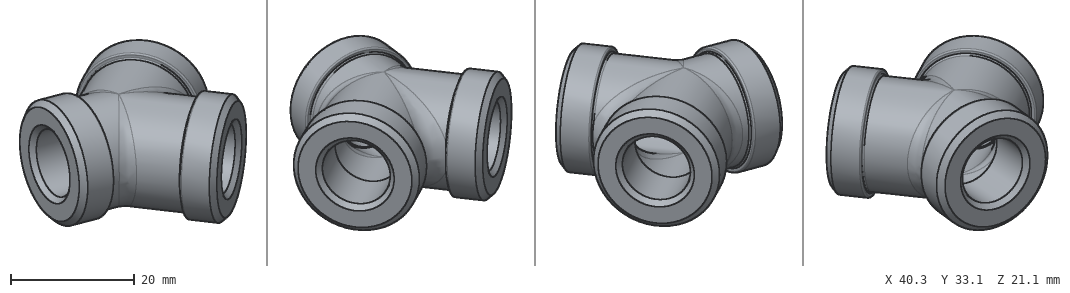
import cadquery as cq
import math

full_width = 40.3
front_length = 12.98
collar_diameter = 21.1
tube_diameter = 19.0
bore_diameter = 11.35
cavity_diameter = 11.85

collar_length = 6.0
end_chamfer = 1.0
collar_edge_radius = 0.3
collar_root_radius = 0.3
bore_chamfer = 0.9
blend_radius = 3.7
cavity_land = 0.05

fuse_tolerance = 0.001

front_angle = -90.0
right_angle = 45.0
left_angle = 135.0

face_radius = collar_diameter / 2 - end_chamfer
rear_length = full_width / 2 / math.cos(math.radians(right_angle)) - face_radius

branch_angles = [front_angle, right_angle, left_angle]
branch_lengths = [front_length, rear_length, rear_length]


def direction(angle):
    return cq.Vector(math.cos(math.radians(angle)), math.sin(math.radians(angle)), 0)


def corner_angle(first_angle, second_angle):
    """Angle swept counterclockwise from the first branch to the second."""
    return (second_angle - first_angle) % 360


def contact_distance(corner, diameter):
    """Distance along a tube to the widest point where the rolling ball touches it."""
    return (diameter / 2 + blend_radius) / math.tan(math.radians(corner / 2))


def contact_point(angle, side, corner, diameter):
    """Widest ball contact on the left (+1) or right (-1) side of a tube."""
    sideways = direction(angle + 90 * side) * (diameter / 2)
    return direction(angle) * contact_distance(corner, diameter) + sideways


def upright_prism(points, half_height):
    outline = [(point.x, point.y) for point in points]
    return cq.Workplane("XY").polyline(outline).close().extrude(half_height, both=True)


def trimmed_tube(angle, length, right_corner, left_corner, diameter):
    """Round bar along a branch, cut back to its contact curves with the two blends beside it."""
    axis = direction(angle)
    bar = cq.Workplane(cq.Solid.makeCylinder(diameter / 2, diameter + length, axis * -diameter, axis))
    right_edge = contact_point(angle, -1, right_corner, diameter) * 2
    left_edge = contact_point(angle, 1, left_corner, diameter) * 2
    reach = axis * length
    sector = [cq.Vector(0, 0, 0), right_edge, right_edge + reach, left_edge + reach, left_edge]
    return bar.intersect(upright_prism(sector, diameter))


def corner_blend(first_angle, corner, diameter):
    """Filler between two equal tubes, hollowed by a ball rolling along both of them."""
    bisector = direction(first_angle + corner / 2)
    ball_offset = diameter / 2 + blend_radius

    ellipse_reach = ball_offset / math.sin(math.radians(corner / 2))
    bisecting_plane = cq.Plane((0, 0, 0), bisector, cq.Vector(0, 0, 1).cross(bisector))
    ball_path = cq.Workplane(bisecting_plane).ellipse(ellipse_reach, ball_offset)
    ball_track = cq.Workplane("XY", origin=bisector * ellipse_reach).circle(blend_radius).sweep(ball_path)

    wedge = [
        cq.Vector(0, 0, 0),
        contact_point(first_angle, 1, corner, diameter),
        contact_point(first_angle + corner, -1, corner, diameter),
    ]
    near_side = ball_path.extrude(ball_offset, both=True)
    return upright_prism(wedge, diameter / 2).intersect(near_side).cut(ball_track)


def blended_tubes(diameter, lengths):
    """Equal tubes from the branch centre, blended in every corner."""
    body = cq.Workplane("XY")
    for index, angle in enumerate(branch_angles):
        next_angle = branch_angles[(index + 1) % len(branch_angles)]
        right_corner = corner_angle(branch_angles[index - 1], angle)
        left_corner = corner_angle(angle, next_angle)
        tube = trimmed_tube(angle, lengths[index], right_corner, left_corner, diameter)
        blend = corner_blend(angle, left_corner, diameter)
        body = body.union(tube, tol=fuse_tolerance).union(blend, tol=fuse_tolerance)
    return body


def revolve_on_branch(profile, angle):
    """Turn an XY half-profile about the X axis and swing it to a branch."""
    return profile.close().revolve(360, (0, 0), (1, 0)).rotate((0, 0, 0), (0, 0, 1), angle)


def collar(angle, length):
    """Collar with a chamfered end, a rounded inner rim and a filleted root."""
    collar_radius = collar_diameter / 2
    tube_radius = tube_diameter / 2
    rim = length - collar_length
    profile = (
        cq.Workplane("XY")
        .moveTo(rim - collar_root_radius, 0)
        .lineTo(length, 0)
        .lineTo(length, face_radius)
        .lineTo(length - end_chamfer, collar_radius)
        .lineTo(rim + collar_edge_radius, collar_radius)
        .radiusArc((rim, collar_radius - collar_edge_radius), -collar_edge_radius)
        .lineTo(rim, tube_radius + collar_root_radius)
        .radiusArc((rim - collar_root_radius, tube_radius), collar_root_radius)
    )
    return revolve_on_branch(profile, angle)


def end_bore(angle, length):
    """Narrow bore from the branch centre to a chamfered mouth."""
    bore_radius = bore_diameter / 2
    profile = (
        cq.Workplane("XY")
        .moveTo(0, 0)
        .lineTo(length, 0)
        .lineTo(length, bore_radius + bore_chamfer)
        .lineTo(length - bore_chamfer, bore_radius)
        .lineTo(0, bore_radius)
    )
    return revolve_on_branch(profile, angle)


tube_lengths = [length - end_chamfer for length in branch_lengths]
result = blended_tubes(tube_diameter, tube_lengths)
for angle, length in zip(branch_angles, branch_lengths):
    result = result.union(collar(angle, length), tol=fuse_tolerance)

front_corner = corner_angle(front_angle, right_angle)
rear_corner = corner_angle(right_angle, left_angle)
front_cavity = contact_distance(front_corner, cavity_diameter) + cavity_land
rear_cavity = contact_distance(rear_corner, cavity_diameter) + cavity_land
cavity_lengths = [front_cavity, rear_cavity, rear_cavity]
result = result.cut(blended_tubes(cavity_diameter, cavity_lengths))

for angle, length in zip(branch_angles, branch_lengths):
    result = result.cut(end_bore(angle, length))